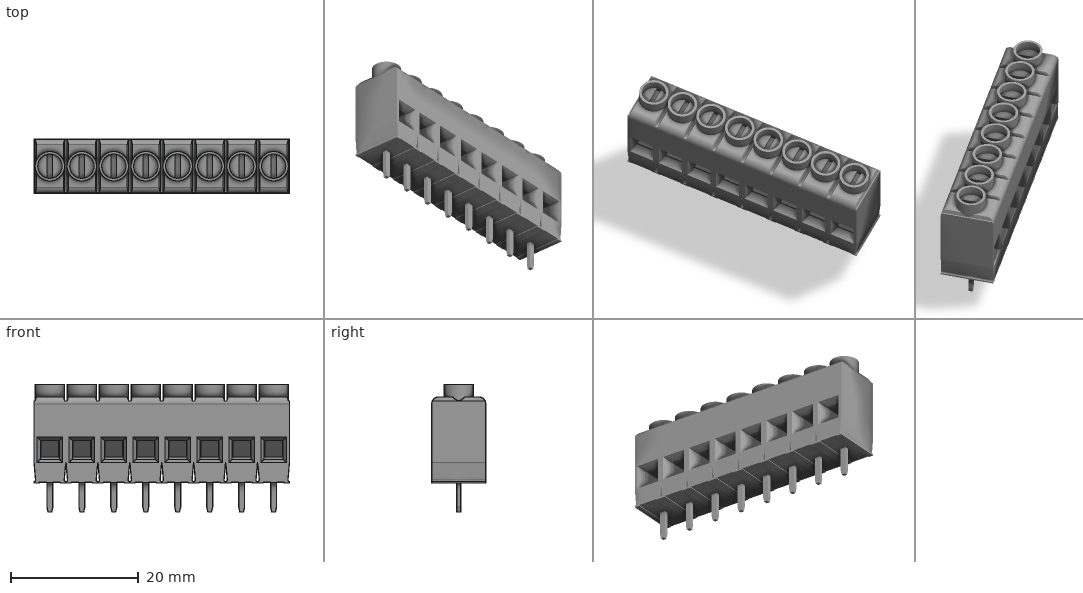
import cadquery as cq

pole_count = 8
length = 40.0
pitch = length / pole_count
depth = 8.5
total_height = 19.95
pin_length = 4.5
collar_top = total_height - pin_length
front_y = -depth / 2

housing_height = 13.5
top_round_height = 1.1
top_round_inset = 0.9

top_groove_depth = 0.6
top_groove_half_width = 0.4
top_groove_floor_half_width = 0.18

slot_top = 3.25
slot_bottom = 0.25
slot_half_width = 0.25

foot_recess_width = 3.3
foot_recess_depth = 0.1

entry_center_z = 5.2
entry_size = 4.0
entry_inner_size = 2.95
entry_taper_depth = 1.35
chamber_width = 2.7
chamber_floor_z = 4.1
chamber_depth = 3.0

collar_diameter = 4.6
bore_diameter = 3.8
screw_recess = 1.6
screw_slot_width = 0.85
screw_slot_depth = 0.6

pin_width = 0.95
pin_thickness = 0.65
pin_tip_width = 0.6
pin_tip_length = 0.75

pole_xs = [(i - (pole_count - 1) / 2) * pitch for i in range(pole_count)]
boundary_xs = [(i - pole_count / 2) * pitch for i in range(pole_count + 1)]


def prism_along_depth(points, thickness):
    """Prism with a straight-sided XZ outline, centered on the housing in Y."""
    return cq.Workplane("XZ").polyline(points).close().extrude(thickness / 2, both=True)


def housing_block():
    """Side profile extended over the full length; the upper rounds start tangent to the side walls."""
    half_depth = depth / 2
    round_start_z = housing_height - top_round_height
    top_half_depth = half_depth - top_round_inset
    round_radius = (top_round_height**2 + top_round_inset**2) / (2 * top_round_inset)
    return (
        cq.Workplane("YZ")
        .moveTo(-half_depth, 0)
        .lineTo(half_depth, 0)
        .lineTo(half_depth, round_start_z)
        .radiusArc((top_half_depth, housing_height), -round_radius)
        .lineTo(-top_half_depth, housing_height)
        .radiusArc((-half_depth, round_start_z), -round_radius)
        .close()
        .extrude(length / 2, both=True)
    )


def top_groove(x):
    floor_z = housing_height - top_groove_depth
    return prism_along_depth([
        (x - top_groove_half_width, housing_height),
        (x - top_groove_floor_half_width, floor_z),
        (x + top_groove_floor_half_width, floor_z),
        (x + top_groove_half_width, housing_height),
    ], depth)


def bottom_slot(x):
    round_start_z = slot_bottom + slot_half_width
    return (
        cq.Workplane("XZ")
        .moveTo(x, slot_top)
        .lineTo(x - slot_half_width, round_start_z)
        .threePointArc((x, slot_bottom), (x + slot_half_width, round_start_z))
        .close()
        .extrude(depth / 2, both=True)
    )


def foot_recess(x):
    recess = cq.Workplane("XY").box(foot_recess_width, depth, foot_recess_depth, centered=(True, True, False))
    return recess.translate((x, 0, 0))


def wire_entry(x):
    """Funnel and chamber share the top level; the chamber floor sits a step higher."""
    funnel = (
        cq.Workplane("XZ", origin=(x, front_y, entry_center_z))
        .rect(entry_size, entry_size)
        .workplane(offset=-entry_taper_depth)
        .rect(entry_inner_size, entry_inner_size)
        .loft(ruled=True)
    )
    chamber_top_z = entry_center_z + entry_inner_size / 2
    chamber = (
        cq.Workplane("XY")
        .box(chamber_width, chamber_depth, chamber_top_z - chamber_floor_z, centered=(True, False, False))
        .translate((x, front_y + entry_taper_depth, chamber_floor_z))
    )
    return funnel.union(chamber)


def screw_collar(x):
    """Return the solid collar and the cavity that leaves the slotted screw head in it."""
    base_z = housing_height - top_groove_depth
    collar_height = collar_top - base_z
    collar = cq.Workplane("XY", origin=(x, 0, base_z)).circle(collar_diameter / 2).extrude(collar_height)
    screw_top = collar_top - screw_recess
    bore = cq.Workplane("XY", origin=(x, 0, screw_top)).circle(bore_diameter / 2).extrude(screw_recess)
    slot = (
        cq.Workplane("XY", origin=(x, 0, screw_top - screw_slot_depth))
        .circle(bore_diameter / 2)
        .extrude(screw_slot_depth)
        .intersect(cq.Workplane("XY").box(screw_slot_width, depth, 2 * collar_top).translate((x, 0, 0)))
    )
    return collar, bore.union(slot)


def solder_pin(x):
    tip_start_z = pin_tip_length - pin_length
    outline = [
        (x - pin_width / 2, foot_recess_depth),
        (x - pin_width / 2, tip_start_z),
        (x - pin_tip_width / 2, -pin_length),
        (x + pin_tip_width / 2, -pin_length),
        (x + pin_width / 2, tip_start_z),
        (x + pin_width / 2, foot_recess_depth),
    ]
    return prism_along_depth(outline, pin_thickness)


result = housing_block()
for boundary_x in boundary_xs:
    result = result.cut(top_groove(boundary_x)).cut(bottom_slot(boundary_x))
for pole_x in pole_xs:
    collar_body, screw_cavity = screw_collar(pole_x)
    result = result.cut(foot_recess(pole_x)).cut(wire_entry(pole_x))
    result = result.union(collar_body).cut(screw_cavity).union(solder_pin(pole_x))